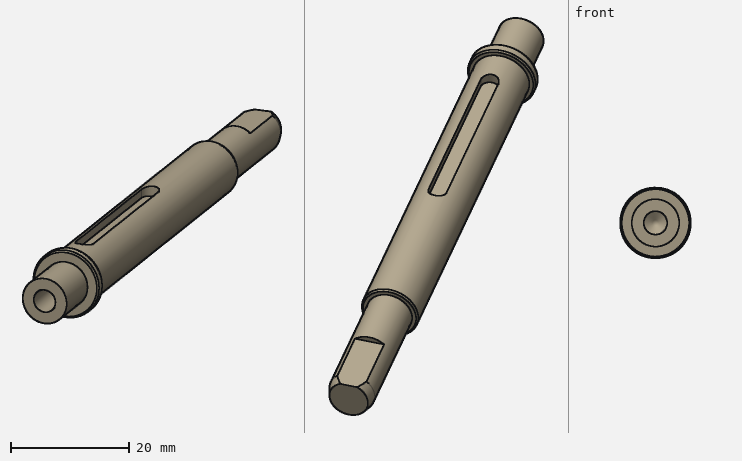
import cadquery as cq
import math

length = 99.0
body_radius = 5.0
journal_radius = 4.01
collar_radius = 5.99

front_journal_length = 9.5
collar_width = 2.0
rear_journal_length = 23.5

edge_chamfer = 0.3
tip_taper_length = 1.9
tip_taper_depth = 0.6

hole_radius = 2.0
hole_depth = 9.9
drill_point_angle = 118.0

flat_length = 12.0
flat_height = 3.1

keyway_length = 33.0
keyway_width = 3.2
keyway_depth = 1.8
keyway_rear_offset = 49.5

front_y = -length / 2
rear_y = length / 2
collar_front_y = front_y + front_journal_length
collar_rear_y = collar_front_y + collar_width
body_rear_y = rear_y - rear_journal_length


def revolve_about_shaft(points):
    """Revolve a closed (radius, y) outline about the shaft axis."""
    return cq.Workplane("XY").polyline(points).close().revolve(360, (0, 0, 0), (0, 1, 0))


def make_shaft():
    return revolve_about_shaft([
        (0, front_y),
        (journal_radius, front_y),
        (journal_radius, collar_front_y),
        (collar_radius - edge_chamfer, collar_front_y),
        (collar_radius, collar_front_y + edge_chamfer),
        (collar_radius, collar_rear_y - edge_chamfer),
        (collar_radius - edge_chamfer, collar_rear_y),
        (body_radius, collar_rear_y),
        (body_radius, body_rear_y - edge_chamfer),
        (body_radius - edge_chamfer, body_rear_y),
        (journal_radius, body_rear_y),
        (journal_radius, rear_y - tip_taper_length),
        (journal_radius - tip_taper_depth, rear_y),
        (0, rear_y),
    ])


def make_drilled_hole():
    point_length = hole_radius / math.tan(math.radians(drill_point_angle / 2))
    hole_end_y = front_y + hole_depth
    return revolve_about_shaft([
        (0, front_y),
        (hole_radius, front_y),
        (hole_radius, hole_end_y),
        (0, hole_end_y + point_length),
    ])


def make_flat_cut():
    return (
        cq.Workplane("XY", origin=(0, rear_y - flat_length / 2, flat_height))
        .rect(2 * journal_radius, flat_length)
        .extrude(journal_radius)
    )


def make_keyway_cut():
    keyway_centre_y = rear_y - keyway_rear_offset - keyway_length / 2
    return (
        cq.Workplane("XY", origin=(0, keyway_centre_y, body_radius - keyway_depth))
        .slot2D(keyway_length, keyway_width, 90)
        .extrude(body_radius)
    )


result = make_shaft().cut(make_drilled_hole()).cut(make_flat_cut()).cut(make_keyway_cut())